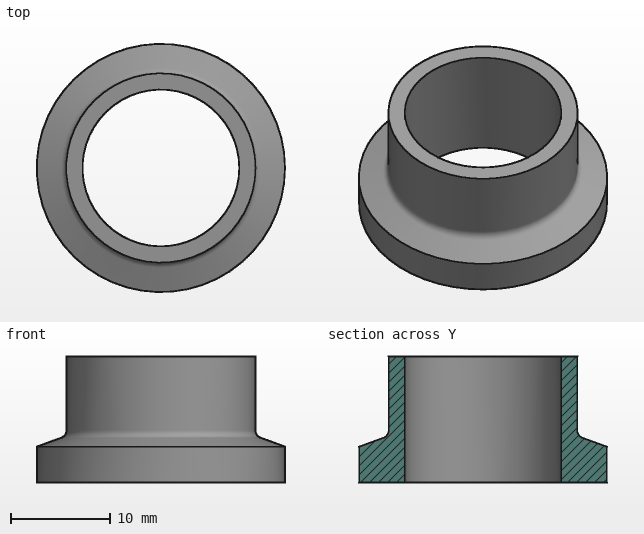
import cadquery as cq
import math

flange_radius = 12.5
tube_radius = 9.52
bore_radius = 7.87
total_height = 12.7
rim_height = 3.62
cone_angle = math.radians(20)
fillet_radius = 0.75

arc_center_r = tube_radius + fillet_radius
cone_end_r = arc_center_r - fillet_radius * math.sin(cone_angle)
cone_end_z = rim_height + (flange_radius - cone_end_r) * math.tan(cone_angle)
arc_center_z = cone_end_z + fillet_radius * math.cos(cone_angle)

mid_angle = (math.pi / 2 - cone_angle) / 2
arc_mid = (
    arc_center_r - fillet_radius * math.cos(mid_angle),
    arc_center_z - fillet_radius * math.sin(mid_angle),
)

section = (
    cq.Workplane("XZ")
    .moveTo(bore_radius, 0)
    .lineTo(flange_radius, 0)
    .lineTo(flange_radius, rim_height)
    .lineTo(cone_end_r, cone_end_z)
    .threePointArc(arc_mid, (tube_radius, arc_center_z))
    .lineTo(tube_radius, total_height)
    .lineTo(bore_radius, total_height)
    .close()
)
result = section.revolve(360, (0, 0), (0, 1))